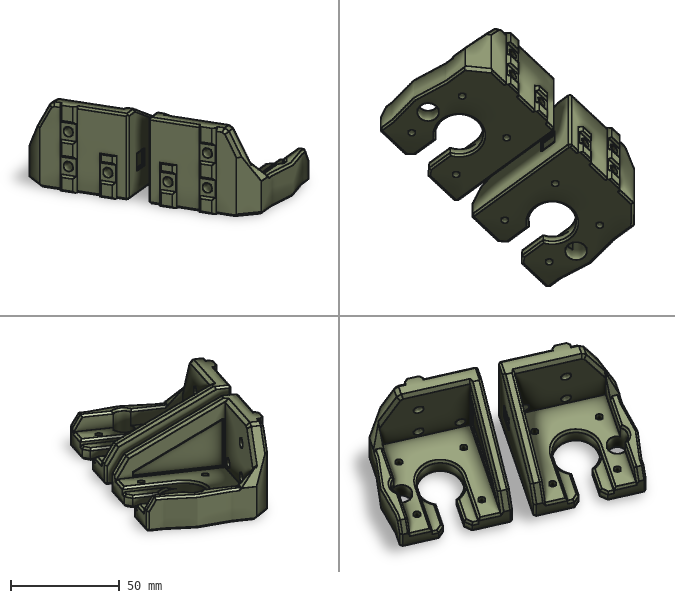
import cadquery as cq
depth = 60.9
height = 42.1
half_gap = 5.0
wall_outer_x = -58.8
apex_x = -61.4
edge = 1.1
bottom_edge = 1.0
through = 122.8

motor_x, motor_y = -32.4, 35.0
motor_span = 43.5
boss_radius = 11.0
slot_half_width = 4.97
mouth_flare = 3.1
screw_pitch = 31.0
screw_diameter = 3.3
deck_z = 8.5
ledge_z = 6.0
low_wall_inner_x = motor_x - motor_span / 2
side_wall_inner_x = motor_x + motor_span / 2
side_wall_outer_x = -half_gap

rod_x, rod_y = -51.6, 37.2
rod_diameter = 10.0

low_wall_z = 16.3
bulge_start_y, bulge_end_y = 20.0, 52.9
ramp_end_y = 15.2

plate_thickness = 8.0
corner_cut_x = 9.0
corner_bottom_edge = 1.5
plate_edge = 1.7
slant_top_x = -44.6
bevel_run = 1.5
slant_slope = (height - low_wall_z) / (slant_top_x - wall_outer_x)

slope_start_y = 8.2
back_bevel_y, back_bevel_top_z = 55.4, 19.0
back_bevel_z = 10.1
slope_edge = 1.4
panel_depth = 1.4
recess_edge = 0.5
panel_front_y, panel_back_y = 8.8, 52.2
panel_bottom_z, panel_top_z = 9.1, 32.0
pocket_size, pocket_depth = 7.6, 1.4
pocket_front_y, pocket_bottom_z = 10.0, 11.9
side_slope = (height - back_bevel_top_z) / (back_bevel_y - slope_start_y)

rail_width = 8.6
rail_height = 1.5
rail_root = 2.5
rail_bottom_edge = 0.9
rail_seat = 0.4
bolt_diameter = 4.8
bolt_pitch_z = 17.01
lower_bolt_z = 12.3
gap_length = bolt_pitch_z / 2
long_rail_x, short_rail_x = -35.2, -15.2
short_rail_top_z = 21.0


def prism_yz(points, x_start, x_end):
    return cq.Workplane("YZ").workplane(offset=x_start).polyline(points).close().extrude(x_end - x_start)


def prism_xz(points, y_start, y_end):
    return cq.Workplane("XZ").workplane(offset=-y_start).polyline(points).close().extrude(y_start - y_end)


def block(x_range, y_range, z_range):
    ranges = (x_range, y_range, z_range)
    size = [end - start for start, end in ranges]
    corner = tuple(start for start, end in ranges)
    return cq.Workplane("XY").box(*size, centered=False).translate(corner)


def cylinder_z(x, y, radius, z_start, z_end):
    return cq.Workplane("XY").workplane(offset=z_start).center(x, y).circle(radius).extrude(z_end - z_start)


def edges_within(solid, face, low_corner, high_corner):
    """Edges of one face whose midpoints lie inside the given box."""
    return solid.faces(face).edges(cq.selectors.BoxSelector(low_corner, high_corner))


def footprint():
    """Full-height column of the plan outline with chamfered bottom edges."""
    outline = [
        (wall_outer_x + corner_cut_x, 0),
        (side_wall_outer_x - edge, 0),
        (side_wall_outer_x, edge),
        (side_wall_outer_x, depth - edge),
        (side_wall_outer_x - edge, depth),
        (wall_outer_x + edge, depth),
        (wall_outer_x, depth - edge),
        (wall_outer_x, bulge_end_y),
        (apex_x, rod_y),
        (wall_outer_x, bulge_start_y),
        (wall_outer_x, plate_thickness),
    ]
    column = cq.Workplane("XY").polyline(outline).close().extrude(height)
    corner = cq.selectors.BoxSelector(
        (wall_outer_x + edge, 0, -edge),
        (wall_outer_x + corner_cut_x - edge, plate_thickness - edge, edge),
    )
    column = column.faces("<Z").edges(corner).chamfer(corner_bottom_edge)
    return column.faces("<Z").edges(-corner).chamfer(bottom_edge)


def slanted_profile():
    """XZ outline of the plate's left part, with its slanted end and small top bevel."""
    return [
        (wall_outer_x, 0),
        (long_rail_x, 0),
        (long_rail_x, height),
        (slant_top_x + bevel_run, height),
        (slant_top_x - bevel_run / 2, height - slant_slope * bevel_run / 2),
        (wall_outer_x, low_wall_z),
    ]


def plate():
    """Front plate: slanted left part with wide bevels, right part with a narrow front bevel."""
    left = prism_xz(slanted_profile(), 0, plate_thickness)
    rim_low = (wall_outer_x + edge, -edge, low_wall_z + edge)
    rim_high = (long_rail_x - edge, depth, height + edge)
    for face in ("<Y", ">Y"):
        left = edges_within(left, face, rim_low, rim_high).chamfer(plate_edge)
    right = block((long_rail_x, side_wall_inner_x + plate_edge), (0, plate_thickness), (0, height))
    right = right.faces(">Z").edges("<Y").chamfer(edge)
    right = right.faces(">Z").edges(">Y").chamfer(plate_edge)
    return left.union(right)


def side_wall():
    """Gusset wall with a sloping top and bevelled upper edges."""
    profile = [
        (0, 0),
        (0, height),
        (slope_start_y, height),
        (back_bevel_y, back_bevel_top_z),
        (depth, back_bevel_z),
        (depth, 0),
    ]
    wall = prism_yz(profile, side_wall_inner_x, side_wall_outer_x)
    slope_low = (side_wall_inner_x - edge, slope_start_y, back_bevel_z)
    slope_high = (0, depth, height)
    front_low = (side_wall_inner_x - edge, 0, height - edge)
    front_high = (0, slope_start_y, height + edge)
    wall = edges_within(wall, "<X", slope_low, slope_high).chamfer(slope_edge)
    wall = edges_within(wall, ">X", slope_low, slope_high).chamfer(slope_edge)
    wall = edges_within(wall, ">X", front_low, front_high).chamfer(edge)
    return wall.faces("<Y").edges(">Z").chamfer(edge)


def wall_recess(outline, face_x, inward, recess_depth):
    """Blind recess in a face of the side wall with a bevelled mouth; inward is +1 or -1 along X."""
    def outline_at(x):
        return cq.Workplane("YZ").workplane(offset=x).polyline(outline).close()

    recess = outline_at(face_x).extrude(inward * recess_depth)
    mouth = outline_at(face_x + inward * recess_edge).extrude(-inward * recess_edge, taper=-45)
    return recess.union(mouth)


def inner_panel_recess():
    """Triangular panel under the slope, on the inner face."""
    outline = [
        (panel_front_y, panel_bottom_z),
        (panel_front_y, panel_top_z),
        (panel_back_y, panel_top_z - side_slope * (panel_back_y - panel_front_y)),
        (panel_back_y, panel_bottom_z),
    ]
    return wall_recess(outline, side_wall_inner_x, 1, panel_depth)


def outer_pocket_recess():
    """Small square pocket on the outer face."""
    pocket_back_y = pocket_front_y + pocket_size
    pocket_top_z = pocket_bottom_z + pocket_size
    outline = [
        (pocket_front_y, pocket_bottom_z),
        (pocket_front_y, pocket_top_z),
        (pocket_back_y, pocket_top_z),
        (pocket_back_y, pocket_bottom_z),
    ]
    return wall_recess(outline, side_wall_outer_x, -1, pocket_depth)


def low_wall():
    """Low outer wall that bulges around the rod hole."""
    outline = [
        (low_wall_inner_x, plate_thickness),
        (low_wall_inner_x, depth),
        (wall_outer_x, depth),
        (wall_outer_x, bulge_end_y),
        (apex_x, rod_y),
        (wall_outer_x, bulge_start_y),
        (wall_outer_x, plate_thickness),
    ]
    wall = cq.Workplane("XY").polyline(outline).close().extrude(low_wall_z)
    wall = wall.cut(back_bevel_cut())
    upper_edges = cq.selectors.BoxSelector(
        (apex_x - edge, plate_thickness + edge, back_bevel_z + edge),
        (0, depth, height),
    )
    return wall.edges(upper_edges).edges("not |X").chamfer(edge)


def ramp():
    """45 degree ramp that carries the slanted plate end down to the low wall."""
    ramp_top_y = plate_thickness - plate_edge
    ramp_foot_y = ramp_end_y + edge
    ramp_foot_z = low_wall_z - edge
    profile = [
        (ramp_top_y, 0),
        (ramp_top_y, ramp_foot_z + ramp_foot_y - ramp_top_y),
        (ramp_foot_y, ramp_foot_z),
        (ramp_foot_y, 0),
    ]
    solid = prism_yz(profile, wall_outer_x, low_wall_inner_x)
    return solid.intersect(prism_xz(slanted_profile(), 0, ramp_foot_y))


def deck():
    """Motor floor between the walls, bevelled along its open back edge."""
    floor = block((wall_outer_x, side_wall_outer_x), (0, depth), (0, deck_z))
    return floor.faces(">Z").edges(">Y").chamfer(edge)


def back_bevel_cut():
    """Wedge above the bevel that trims the open back end."""
    bevel_slope = (back_bevel_top_z - back_bevel_z) / (depth - back_bevel_y)
    wedge = [
        (depth, back_bevel_z),
        (depth, height),
        (depth - (height - back_bevel_z) / bevel_slope, height),
    ]
    return prism_yz(wedge, apex_x, low_wall_inner_x)


def u_shape(radius, z):
    """Sketch plane with a U outline that is round around the motor boss and open at the back."""
    return (
        cq.Workplane("XY")
        .workplane(offset=z)
        .moveTo(motor_x - radius, depth + boss_radius)
        .lineTo(motor_x - radius, motor_y)
        .threePointArc((motor_x, motor_y - radius), (motor_x + radius, motor_y))
        .lineTo(motor_x + radius, depth + boss_radius)
        .close()
    )


def ledge_pocket():
    """U-shaped pocket from the lowered floor up through the deck, with a bevelled rim."""
    pocket = u_shape(boss_radius, ledge_z).extrude(height)
    rim = u_shape(boss_radius, deck_z - edge).extrude(edge, taper=-45)
    return pocket.union(rim)


def opening(draw_outline):
    """Hole through the lowered floor, flared at the underside and, inside the pocket, at the top."""
    body = draw_outline(0).extrude(ledge_z)
    lower_flare = draw_outline(bottom_edge).extrude(-bottom_edge, taper=-45)
    upper_flare = draw_outline(ledge_z - edge).extrude(edge, taper=-45)
    pocket_column = u_shape(boss_radius, 0).extrude(height)
    return body.union(lower_flare).union(upper_flare.intersect(pocket_column))


def boss_outline(z):
    return cq.Workplane("XY").workplane(offset=z).center(motor_x, motor_y).circle(boss_radius)


def slot_outline(z):
    """Straight slot from the boss hole to the back, widening at its mouth."""
    mouth_half_width = slot_half_width + mouth_flare
    right_side = [
        (slot_half_width, motor_y),
        (slot_half_width, depth - mouth_flare),
        (mouth_half_width, depth),
        (mouth_half_width, depth + boss_radius),
    ]
    outline = [(motor_x + x, y) for x, y in right_side]
    outline += [(motor_x - x, y) for x, y in reversed(right_side)]
    return cq.Workplane("XY").workplane(offset=z).polyline(outline).close()


def ledge_back_bevel():
    """Bevel along the back edge of the lowered floor."""
    wedge = [
        (depth - edge, ledge_z),
        (depth, ledge_z),
        (depth, ledge_z - edge),
    ]
    return prism_yz(wedge, motor_x - boss_radius, motor_x + boss_radius)


def screw_holes():
    return (
        cq.Workplane("XY")
        .center(motor_x, motor_y)
        .rect(screw_pitch, screw_pitch, forConstruction=True)
        .vertices()
        .circle(screw_diameter / 2)
        .extrude(height)
    )


def rod_hole():
    """Vertical rod hole, bevelled where it opens in the top of the low wall."""
    radius = rod_diameter / 2
    hole = cylinder_z(rod_x, rod_y, radius, 0, height)
    rim = (
        cq.Workplane("XY").workplane(offset=low_wall_z - edge).center(rod_x, rod_y)
        .circle(radius).extrude(edge, taper=-45)
    )
    return hole.union(rim)


def rail(center_x, top_z, bolt_heights):
    """Bevelled rail, notched down to a low seat around every bolt."""
    foot = rail_width / 2
    crest = foot - rail_height
    section = [
        (center_x - foot, rail_root),
        (center_x - foot, 0),
        (center_x - crest, -rail_height),
        (center_x + crest, -rail_height),
        (center_x + foot, 0),
        (center_x + foot, rail_root),
    ]
    bar = cq.Workplane("XY").polyline(section).close().extrude(top_z)
    bar = bar.faces("<Z").edges("<Y").chamfer(rail_bottom_edge)
    notch_flare = rail_height - rail_seat
    seat_half = gap_length / 2
    for z in bolt_heights:
        notch = [
            (-rail_seat, z - seat_half),
            (-rail_seat, z + seat_half),
            (-rail_height, z + seat_half + notch_flare),
            (-rail_height, z - seat_half - notch_flare),
        ]
        bar = bar.cut(prism_yz(notch, -through, 0))
    return bar


def bolt_hole(x, z):
    return cq.Workplane("XZ").center(x, z).circle(bolt_diameter / 2).extrude(2 * depth, both=True)


def bracket():
    """Complete left-hand motor bracket."""
    upper_bolt_z = lower_bolt_z + bolt_pitch_z
    body = plate().union(side_wall()).union(low_wall()).union(ramp()).union(deck())
    body = body.intersect(footprint())
    openings = opening(boss_outline).union(opening(slot_outline))
    cutters = (
        inner_panel_recess(),
        outer_pocket_recess(),
        ledge_pocket(),
        openings,
        ledge_back_bevel(),
        screw_holes(),
        rod_hole(),
    )
    for cutter in cutters:
        body = body.cut(cutter)
    body = body.union(rail(long_rail_x, height, (lower_bolt_z, upper_bolt_z)))
    body = body.union(rail(short_rail_x, short_rail_top_z, (lower_bolt_z,)))
    for x, z in (
        (long_rail_x, lower_bolt_z),
        (long_rail_x, upper_bolt_z),
        (short_rail_x, lower_bolt_z),
    ):
        body = body.cut(bolt_hole(x, z))
    return body


left_bracket = bracket()
right_bracket = left_bracket.mirror("YZ")

result = cq.Compound.makeCompound([left_bracket.val(), right_bracket.val()])